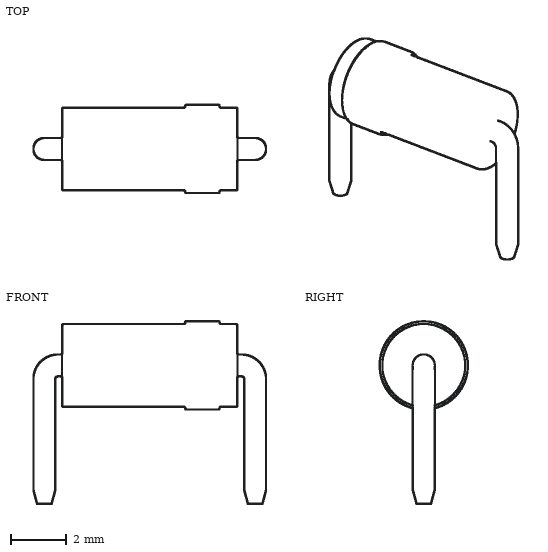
import cadquery as cq

overall_length = 8.42
overall_height = 6.6

body_length = 6.33
body_diameter = 3.0
body_edge_radius = 0.05

band_diameter = 3.2
band_start = 1.23
band_length = 1.35
band_blend_radius = (band_diameter - body_diameter) / 4

lead_diameter = 0.8
bend_radius = 0.5
root_fillet = 0.05
tip_length = 0.5
tip_diameter = 0.53

lead_radius = lead_diameter / 2
lead_x = overall_length / 2 - lead_radius
lead_bottom = band_diameter / 2 - overall_height
tip_top = lead_bottom + tip_length
bend_start = lead_x - bend_radius


def make_body():
    """Round body and its raised band, turned about the X axis."""
    end_x = body_length / 2
    body_radius = body_diameter / 2
    band_radius = band_diameter / 2
    band_end = band_start + band_length
    blend = band_blend_radius
    edge = body_edge_radius
    blend_mid = body_radius + blend
    profile = (
        cq.Workplane("XZ")
        .moveTo(-end_x, 0)
        .lineTo(-end_x, body_radius - edge)
        .radiusArc((-end_x + edge, body_radius), edge)
        .lineTo(band_start, body_radius)
        .radiusArc((band_start + blend, blend_mid), -blend)
        .radiusArc((band_start + 2 * blend, band_radius), blend)
        .lineTo(band_end - 2 * blend, band_radius)
        .radiusArc((band_end - blend, blend_mid), blend)
        .radiusArc((band_end, body_radius), -blend)
        .lineTo(end_x - edge, body_radius)
        .radiusArc((end_x, body_radius - edge), edge)
        .lineTo(end_x, 0)
        .close()
    )
    return profile.revolve(360, (0, 0, 0), (1, 0, 0))


def make_lead():
    """Lead at the +X end: out of the body, bent down, ending in a tapered tip."""
    path = (
        cq.Workplane("XZ")
        .lineTo(bend_start, 0)
        .radiusArc((lead_x, -bend_radius), bend_radius)
        .lineTo(lead_x, tip_top)
    )
    wire = cq.Workplane("YZ").circle(lead_radius).sweep(path)
    tip = (
        cq.Workplane("XY", origin=(lead_x, 0, tip_top))
        .circle(lead_radius)
        .workplane(offset=-tip_length)
        .circle(tip_diameter / 2)
        .loft(ruled=True)
    )
    return wire.union(tip)


def make_root():
    """Concave flare where the +X lead leaves the end face of the body."""
    face_x = body_length / 2
    outer = lead_radius + root_fillet
    return (
        cq.Workplane("XY")
        .moveTo(face_x - root_fillet, 0)
        .lineTo(face_x - root_fillet, outer)
        .lineTo(face_x, outer)
        .radiusArc((face_x + root_fillet, lead_radius), -root_fillet)
        .lineTo(face_x + root_fillet, 0)
        .close()
        .revolve(360, (0, 0, 0), (1, 0, 0))
    )


lead = make_lead().union(make_root())
result = make_body().union(lead).union(lead.mirror("YZ"))